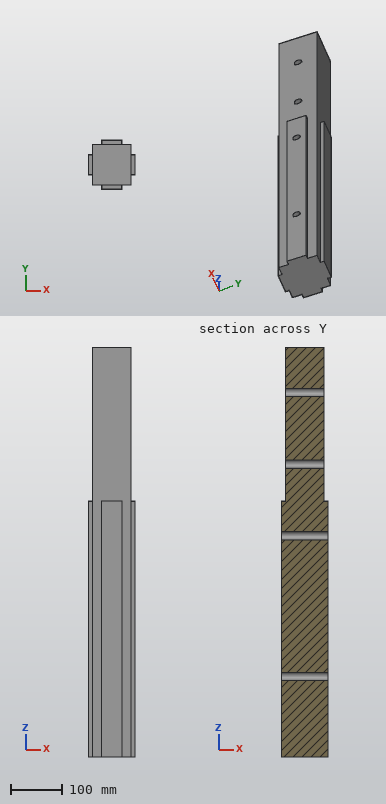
import cadquery as cq

post_height = 800.0
post_width_x = 75.0
post_width_y = 80.0

strip_height = 500.0
strip_width = 40.0
strip_thickness = 8.0

hole_diameter = 15.0
upper_hole_spacing = 140.0
top_hole_z = 712.0
bottom_hole_z = 158.0
hole_heights = [bottom_hole_z] + [top_hole_z - i * upper_hole_spacing for i in range(3)]

outer_x = post_width_x + 2 * strip_thickness
outer_y = post_width_y + 2 * strip_thickness


def upright_block(size_x, size_y, height):
    """Block centred on the Z axis, standing on the base plane."""
    return cq.Workplane("XY").rect(size_x, size_y).extrude(height)


def cross_hole(z):
    """Cutter passing through the whole part along X at height z."""
    return (
        cq.Workplane("YZ")
        .center(0, z)
        .circle(hole_diameter / 2)
        .extrude(outer_x, both=True)
    )


result = (
    upright_block(post_width_x, post_width_y, post_height)
    .union(upright_block(outer_x, strip_width, strip_height))
    .union(upright_block(strip_width, outer_y, strip_height))
)

for hole_z in hole_heights:
    result = result.cut(cross_hole(hole_z))